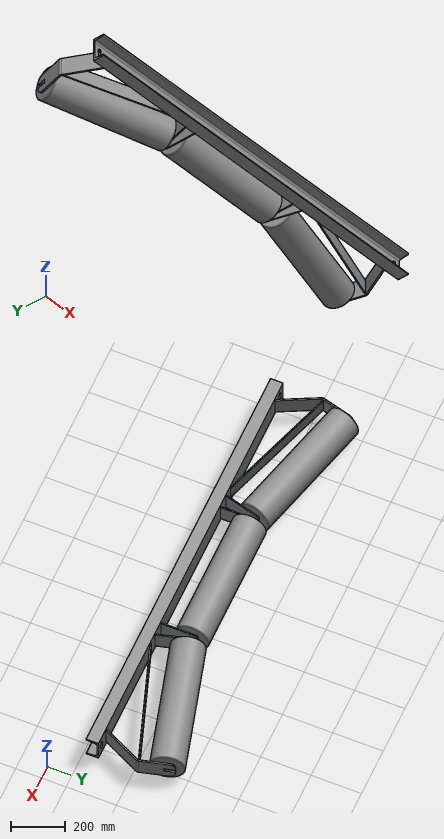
import cadquery as cq
import math


CHANNEL_LENGTH = 1700.0
CHANNEL_HEIGHT = 100.0
FLANGE_WIDTH = 50.0
WEB_THICKNESS = 6.0
FLANGE_MEAN_THICKNESS = 9.0
FLANGE_SLOPE = 0.08
ROOT_RADIUS = 9.0
TOE_RADIUS = 4.5
MOUNT_SLOT_X = 822.0
MOUNT_SLOT_LENGTH = 36.0
MOUNT_SLOT_WIDTH = 15.0

ROLLER_DIAMETER = 133.0
ROLLER_LENGTH = 530.0
ROLLER_EDGE_FILLET = 3.0
SHAFT_DIAMETER = 20.0
SHAFT_FLAT_WIDTH = 14.0
TROUGH_ANGLE = 15.0
MIDDLE_ROLLER_Y = 120.0
SIDE_ROLLER_X = 560.0
SIDE_ROLLER_Y = 190.0

STRIP_WIDTH = 75.0
END_GAP = 6.0
MIDDLE_STRIP_THICKNESS = 5.0
MIDDLE_BEND_INNER_RADIUS = 5.0
END_STRIP_THICKNESS = 7.0
END_BEND_INNER_RADIUS = 9.0
END_BRACKET_REACH = 855.0
END_LEG_ANGLE = 26.0
END_BRACKET_RISE = 33.0
END_CORNER_RADIUS = 24.0

BRACE_WIDTH = 60.0
BRACE_THICKNESS = 5.0
BRACE_FOOT_X = 371.0

HALF_ROLLER = ROLLER_LENGTH / 2
STRIP_FACE = HALF_ROLLER + END_GAP
OVERLONG = 513.0

trough = math.radians(TROUGH_ANGLE)
leg_lean = math.radians(END_LEG_ANGLE)


def at_angle(angle, length):
    """Vector of the given length in the XY plane, at an angle from +X in radians."""
    return cq.Vector(length * math.cos(angle), length * math.sin(angle))


def on_side_axis(body):
    """Move a body from the middle roller's frame, with its axis on X, to the +X side roller."""
    origin = cq.Vector()
    return body.rotate(origin, cq.Vector(0, 0, 1), TROUGH_ANGLE).translate((SIDE_ROLLER_X, SIDE_ROLLER_Y, 0))


def mirrored(body):
    """The body's twin on the other side of X = 0."""
    return body.mirror("YZ")


def above_web(body):
    """Trim away what lies below the web's outer face."""
    keep = cq.Workplane("XY").box(4 * OVERLONG, OVERLONG, OVERLONG, centered=(True, False, True))
    return body.intersect(keep)


def make_channel():
    """Channel with tapered flanges, rounded roots and toes, and a mounting slot near each end."""
    half_height = CHANNEL_HEIGHT / 2
    half_taper = FLANGE_SLOPE * FLANGE_WIDTH / 2
    toe_z = half_height - FLANGE_MEAN_THICKNESS + half_taper
    root_z = half_height - FLANGE_MEAN_THICKNESS - half_taper + FLANGE_SLOPE * WEB_THICKNESS
    outline = [
        (0, half_height),
        (-FLANGE_WIDTH, half_height),
        (-FLANGE_WIDTH, toe_z),
        (-WEB_THICKNESS, root_z),
        (-WEB_THICKNESS, -root_z),
        (-FLANGE_WIDTH, -toe_z),
        (-FLANGE_WIDTH, -half_height),
        (0, -half_height),
    ]
    channel = cq.Workplane("YZ").polyline(outline).close().extrude(CHANNEL_LENGTH / 2, both=True)
    for y, z, radius in ((-WEB_THICKNESS, root_z, ROOT_RADIUS), (-FLANGE_WIDTH, toe_z, TOE_RADIUS)):
        for side in (-1, 1):
            edge = cq.selectors.NearestToPointSelector((0, y, side * z))
            channel = channel.edges("|X").edges(edge).fillet(radius)
    slots = (
        cq.Workplane("XZ")
        .pushPoints([(-MOUNT_SLOT_X, 0), (MOUNT_SLOT_X, 0)])
        .slot2D(MOUNT_SLOT_LENGTH, MOUNT_SLOT_WIDTH, 90)
        .extrude(WEB_THICKNESS)
    )
    return channel.cut(slots)


def make_roller(left_strip, right_strip):
    """Roller on X; its shaft is flattened where it passes through strips of the given thicknesses."""
    roller = (
        cq.Workplane("YZ", origin=(-HALF_ROLLER, 0, 0))
        .circle(ROLLER_DIAMETER / 2)
        .extrude(ROLLER_LENGTH)
        .edges("%CIRCLE")
        .fillet(ROLLER_EDGE_FILLET)
    )
    for side, strip in ((-1, left_strip), (1, right_strip)):
        shaft = cq.Workplane("YZ").circle(SHAFT_DIAMETER / 2).extrude(side * (STRIP_FACE + strip))
        round_zone = cq.Workplane("XY").box(2 * STRIP_FACE, SHAFT_DIAMETER, SHAFT_DIAMETER)
        flat_zone = cq.Workplane("XY").box(2 * OVERLONG, SHAFT_DIAMETER, SHAFT_FLAT_WIDTH)
        roller = roller.union(shaft.intersect(round_zone.union(flat_zone)))
    return roller


def shaft_slot(side):
    """Cutter for the open-topped slot in the strip at one end of a roller on X."""
    slot = cq.Workplane("XY").box(
        2 * END_GAP + END_STRIP_THICKNESS, ROLLER_DIAMETER, SHAFT_FLAT_WIDTH, centered=(True, False, True)
    )
    return slot.translate((side * (STRIP_FACE + END_STRIP_THICKNESS / 2), -SHAFT_DIAMETER / 2, 0))


def flat_point(point):
    """The X and Y of a vector."""
    return point.x, point.y


def bent_strip(center, inner_radius, thickness, first_normal, last_normal):
    """Strip of two overlong straight legs joined by a bend; the normals are the legs' outward angles."""
    outer_radius = inner_radius + thickness
    bisector = (first_normal + last_normal) / 2
    first_leg = at_angle(first_normal + math.pi / 2, OVERLONG)
    last_leg = at_angle(last_normal - math.pi / 2, OVERLONG)

    def bend(angle, radius):
        return center + at_angle(angle, radius)

    return (
        cq.Workplane("XY", origin=(0, 0, -STRIP_WIDTH / 2))
        .moveTo(*flat_point(bend(first_normal, outer_radius) + first_leg))
        .lineTo(*flat_point(bend(first_normal, outer_radius)))
        .threePointArc(flat_point(bend(bisector, outer_radius)), flat_point(bend(last_normal, outer_radius)))
        .lineTo(*flat_point(bend(last_normal, outer_radius) + last_leg))
        .lineTo(*flat_point(bend(last_normal, inner_radius) + last_leg))
        .lineTo(*flat_point(bend(last_normal, inner_radius)))
        .threePointArc(flat_point(bend(bisector, inner_radius)), flat_point(bend(first_normal, inner_radius)))
        .lineTo(*flat_point(bend(first_normal, inner_radius) + first_leg))
        .close()
        .extrude(STRIP_WIDTH)
    )


def bend_center(x, axis_offset):
    """Bend centre at a given X, offset along the +X side roller's axis from that roller's middle."""
    rise = (axis_offset - (x - SIDE_ROLLER_X) * math.cos(trough)) / math.sin(trough)
    return cq.Vector(x, SIDE_ROLLER_Y + rise)


end_bend_center = bend_center(
    END_BRACKET_REACH - END_BEND_INNER_RADIUS - END_STRIP_THICKNESS, STRIP_FACE - END_BEND_INNER_RADIUS
)


def make_middle_bracket():
    """Inverted U between the middle and +X side rollers, with one slotted leg against each."""
    offset = STRIP_FACE + MIDDLE_BEND_INNER_RADIUS + MIDDLE_STRIP_THICKNESS
    bracket = bent_strip(
        bend_center(offset, -offset),
        MIDDLE_BEND_INNER_RADIUS,
        MIDDLE_STRIP_THICKNESS,
        math.pi,
        trough,
    )
    bracket = bracket.cut(shaft_slot(1).translate((0, MIDDLE_ROLLER_Y, 0)))
    bracket = bracket.cut(on_side_axis(shaft_slot(-1)))
    return above_web(bracket)


def make_end_bracket():
    """Kinked strip that holds the outer end of the +X side roller, with rounded top corners."""
    bracket = bent_strip(
        end_bend_center,
        END_BEND_INNER_RADIUS,
        END_STRIP_THICKNESS,
        trough,
        -leg_lean,
    )
    envelope = (
        cq.Workplane("XY")
        .box(2 * OVERLONG, OVERLONG, STRIP_WIDTH)
        .edges("|X and >Y")
        .fillet(END_CORNER_RADIUS)
        .translate((0, END_BRACKET_RISE - OVERLONG / 2, 0))
    )
    bracket = bracket.intersect(on_side_axis(envelope))
    return above_web(bracket.cut(on_side_axis(shaft_slot(1))))


def make_brace(end_bracket):
    """Flat bar from the web up to the inside of the end bracket, where its bend meets the upper leg."""
    top = end_bend_center + at_angle(trough, END_BEND_INNER_RADIUS + END_STRIP_THICKNESS / 2)
    foot = cq.Vector(BRACE_FOOT_X, 0)
    bar = top - foot
    bar_angle = math.atan2(bar.y, bar.x)
    brace = (
        cq.Workplane("XY")
        .box(2 * bar.Length, BRACE_THICKNESS, BRACE_WIDTH)
        .rotate((0, 0, 0), (0, 0, 1), math.degrees(bar_angle))
        .translate(foot)
    )
    return above_web(brace).cut(end_bracket)


channel = make_channel()
middle_roller = make_roller(MIDDLE_STRIP_THICKNESS, MIDDLE_STRIP_THICKNESS).translate((0, MIDDLE_ROLLER_Y, 0))
side_roller = on_side_axis(make_roller(MIDDLE_STRIP_THICKNESS, END_STRIP_THICKNESS))
middle_bracket = make_middle_bracket()
end_bracket = make_end_bracket()
brace = make_brace(end_bracket)

bodies = [channel.val(), middle_roller.val()]
for body in (side_roller, middle_bracket, end_bracket, brace):
    bodies.append(body.val())
    bodies.append(mirrored(body).val())

result = cq.Compound.makeCompound(bodies)